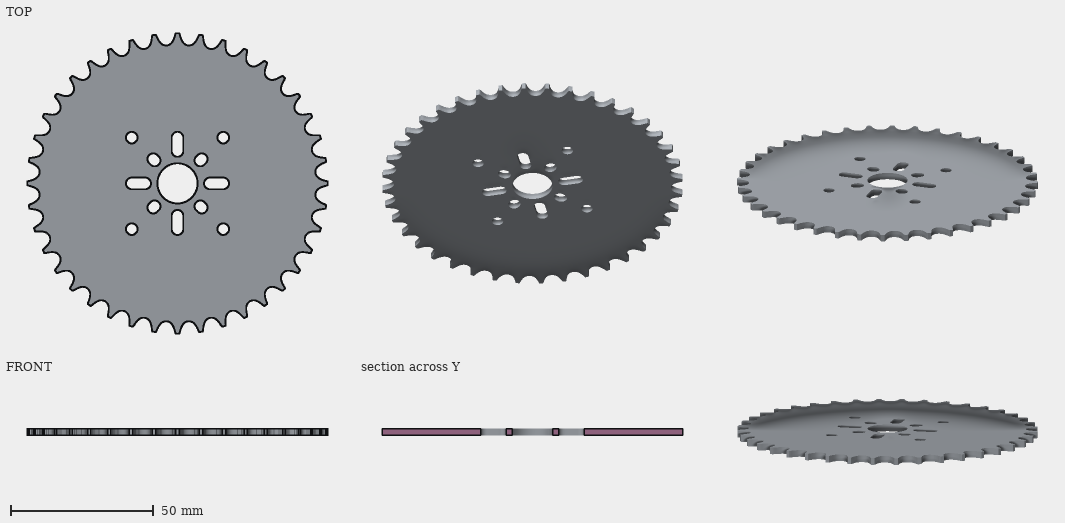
import cadquery as cq
import math

THICKNESS = 2.36
OUTER_RADIUS = 52.6

CHAIN_PITCH = 8.0
ROLLER_DIAMETER = 5.0
TOOTH_COUNT = 40
TOOTH_ANGLE = 2 * math.pi / TOOTH_COUNT
PITCH_RADIUS = CHAIN_PITCH / 2 / math.sin(TOOTH_ANGLE / 2)

INCH = 25.4
SEAT_RADIUS = (1.005 * ROLLER_DIAMETER + 0.003 * INCH) / 2
SEAT_END_ANGLE = math.radians(35 + 60 / TOOTH_COUNT)
WORKING_ANGLE = math.radians(18 - 56 / TOOTH_COUNT)
WORKING_CENTRE_DISTANCE = 0.8 * ROLLER_DIAMETER
WORKING_RADIUS = WORKING_CENTRE_DISTANCE + SEAT_RADIUS
TOPPING_CENTRE_DISTANCE = 1.4 * ROLLER_DIAMETER
TOPPING_RADIUS = (
    WORKING_CENTRE_DISTANCE * math.cos(WORKING_ANGLE)
    + TOPPING_CENTRE_DISTANCE * math.cos(math.radians(17 - 64 / TOOTH_COUNT))
    - WORKING_RADIUS
)

GRID = 8.0
BORE_DIAMETER = 14.0
CORNER_HOLE_DIAMETER = 4.0
CORNER_HOLE_SPACING = 4 * GRID
SLOTS_PER_RING = 4
SLOT_WIDTH = 4.0
SLOT_INNER_RADIUS = GRID * math.sqrt(2)
LONG_SLOT_OUTER_RADIUS = 2 * GRID
SHORT_SLOT_OUTER_RADIUS = 12.0
CUT_DEPTH = 2 * THICKNESS


def turned(point, angle):
    """Rotate a point about the centre of the sprocket."""
    x, y = point
    return (
        x * math.cos(angle) - y * math.sin(angle),
        x * math.sin(angle) + y * math.cos(angle),
    )


def polar(centre, radius, angle):
    """Point at a distance from a centre, with the angle measured from +X towards +Y."""
    return (centre[0] + radius * math.cos(angle), centre[1] + radius * math.sin(angle))


def mirrored(point):
    """Reflect a point across the X axis."""
    return (point[0], -point[1])


def arc_middle(centre, radius, start, end):
    """Middle of the shorter arc between two points on a circle."""
    dx = (start[0] + end[0]) / 2 - centre[0]
    dy = (start[1] + end[1]) / 2 - centre[1]
    return polar(centre, radius, math.atan2(dy, dx))


def flank_points():
    """Points along the +Y flank of the tooth gap centred on +X, from the root to the tip."""
    tangent = math.pi / 2
    roller = (PITCH_RADIUS, 0)

    seat_end_direction = tangent + SEAT_END_ANGLE
    seat_end = polar(roller, SEAT_RADIUS, seat_end_direction)
    working_centre = polar(roller, -WORKING_CENTRE_DISTANCE, seat_end_direction)
    flank_direction = seat_end_direction - WORKING_ANGLE
    working_end = polar(working_centre, WORKING_RADIUS, flank_direction)
    working_middle = arc_middle(working_centre, WORKING_RADIUS, seat_end, working_end)

    topping_centre = polar(roller, TOPPING_CENTRE_DISTANCE, tangent + TOOTH_ANGLE / 2)
    topping_start = polar(topping_centre, -TOPPING_RADIUS, flank_direction)

    centre_distance = math.hypot(*topping_centre)
    centre_angle = math.atan2(topping_centre[1], topping_centre[0])
    tip_offset = math.acos(
        (OUTER_RADIUS**2 + centre_distance**2 - TOPPING_RADIUS**2)
        / (2 * OUTER_RADIUS * centre_distance)
    )
    tip = polar((0, 0), OUTER_RADIUS, centre_angle - tip_offset)
    topping_middle = arc_middle(topping_centre, TOPPING_RADIUS, topping_start, tip)
    return seat_end, working_middle, working_end, topping_start, topping_middle, tip


def toothed_plate():
    """Disc with a tooth pointing along each axis and the gaps half a tooth off them."""
    rising = flank_points()
    falling = [mirrored(point) for point in rising]
    root = (PITCH_RADIUS - SEAT_RADIUS, 0)
    tip_middle = polar((0, 0), OUTER_RADIUS, TOOTH_ANGLE / 2)
    next_tip = turned(falling[-1], TOOTH_ANGLE)

    first_gap = TOOTH_ANGLE / 2
    rim = cq.Workplane("XY").moveTo(*turned(falling[-1], first_gap))
    for index in range(TOOTH_COUNT):
        angle = first_gap + index * TOOTH_ANGLE
        falling_side = [turned(point, angle) for point in falling]
        rising_side = [turned(point, angle) for point in rising]
        seat_end, working_middle, working_end, topping_start, topping_middle, _ = falling_side
        rim = rim.threePointArc(topping_middle, topping_start)
        rim = rim.lineTo(*working_end)
        rim = rim.threePointArc(working_middle, seat_end)

        seat_end, working_middle, working_end, topping_start, topping_middle, tip_corner = rising_side
        rim = rim.threePointArc(turned(root, angle), seat_end)
        rim = rim.threePointArc(working_middle, working_end)
        rim = rim.lineTo(*topping_start)
        rim = rim.threePointArc(topping_middle, tip_corner)
        rim = rim.threePointArc(turned(tip_middle, angle), turned(next_tip, angle))
    return rim.close().extrude(THICKNESS)


def radial_slots(outer_radius, first_angle):
    """Four through slots pointing at the centre, at right angles to one another."""
    middle_radius = (SLOT_INNER_RADIUS + outer_radius) / 2
    length = outer_radius - SLOT_INNER_RADIUS + SLOT_WIDTH
    return (
        cq.Workplane("XY")
        .polarArray(middle_radius, first_angle, 360, SLOTS_PER_RING)
        .slot2D(length, SLOT_WIDTH)
        .extrude(CUT_DEPTH, both=True)
    )


def bore():
    """Round through hole at the centre."""
    return cq.Workplane("XY").circle(BORE_DIAMETER / 2).extrude(CUT_DEPTH, both=True)


def corner_holes():
    """Four round through holes at the corners of a square."""
    return (
        cq.Workplane("XY")
        .rect(CORNER_HOLE_SPACING, CORNER_HOLE_SPACING, forConstruction=True)
        .vertices()
        .circle(CORNER_HOLE_DIAMETER / 2)
        .extrude(CUT_DEPTH, both=True)
    )


result = (
    toothed_plate()
    .cut(bore())
    .cut(corner_holes())
    .cut(radial_slots(LONG_SLOT_OUTER_RADIUS, 0))
    .cut(radial_slots(SHORT_SLOT_OUTER_RADIUS, 45))
)